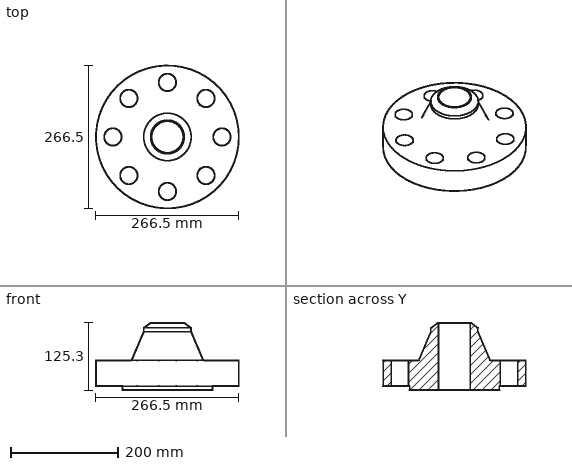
import cadquery as cq

flange_diameter = 266.5
flange_thickness = 48.0

face_diameter = 168.5
face_height = 7.5

total_height = 125.3
hub_diameter = 133.8
neck_diameter = 88.5
neck_length = 7.0
bevel_height = 9.5
land_diameter = 63.0
blend_radius = 2.7
bore_diameter = 58.7

bolt_count = 8
bolt_circle_diameter = 203.2
bolt_hole_diameter = 32.0

disc_top = face_height + flange_thickness
bevel_base = total_height - bevel_height
neck_base = bevel_base - neck_length

selection_margin = 0.3


def make_disc():
    face = cq.Workplane("XY").circle(face_diameter / 2).extrude(face_height)
    disc = (
        cq.Workplane("XY")
        .workplane(offset=face_height)
        .circle(flange_diameter / 2)
        .extrude(flange_thickness)
    )
    return face.union(disc)


def make_neck():
    """Revolved cone, cylinder and weld bevel standing on the disc."""
    return (
        cq.Workplane("XZ")
        .moveTo(0, disc_top)
        .lineTo(hub_diameter / 2, disc_top)
        .lineTo(neck_diameter / 2, neck_base)
        .lineTo(neck_diameter / 2, bevel_base)
        .lineTo(land_diameter / 2, total_height)
        .lineTo(0, total_height)
        .close()
        .revolve(360, (0, 0, 0), (0, 1, 0))
    )


def hub_root():
    """Selector for the circle where the cone meets the disc."""
    reach = hub_diameter / 2 + selection_margin
    lower_corner = (-reach, -reach, disc_top - selection_margin)
    upper_corner = (reach, reach, disc_top + selection_margin)
    return cq.selectors.BoxSelector(lower_corner, upper_corner, boundingbox=True)


def make_bolt_holes():
    return (
        cq.Workplane("XY")
        .polarArray(bolt_circle_diameter / 2, 0, 360, bolt_count)
        .circle(bolt_hole_diameter / 2)
        .extrude(disc_top)
    )


def make_bore():
    return cq.Workplane("XY").circle(bore_diameter / 2).extrude(total_height)


result = make_disc().union(make_neck())
result = result.edges(hub_root()).fillet(blend_radius)
result = result.cut(make_bore()).cut(make_bolt_holes())